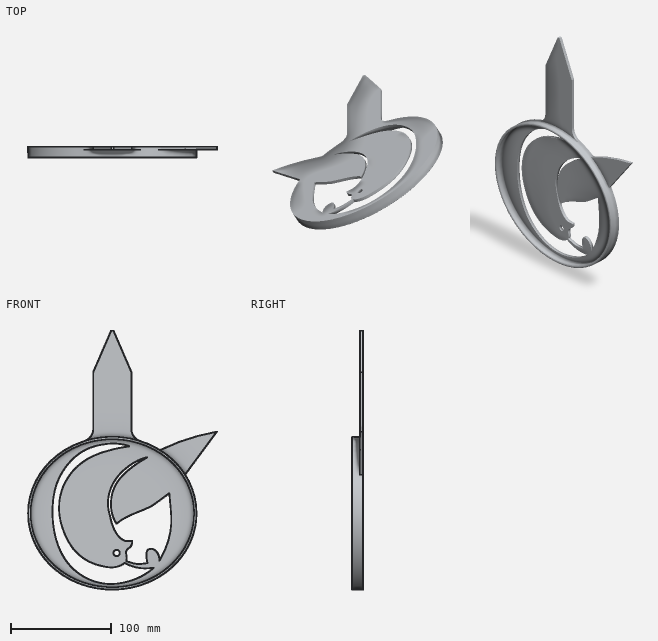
import cadquery as cq
import math

OVAL_HALF_WIDTH = 83.75
OVAL_HALF_HEIGHT = 76.0
PLATE_THICKNESS = 3.18
RIM_DEPTH = 8.0
RIM_WALL = 2.5
RIM_CROWN_HEIGHT = 0.5
RIM_FOOT_RADIUS = 0.7

STAKE_HALF_WIDTH = 19.05
STAKE_SHOULDER_Z = 140.2
STAKE_TIP_Z = 181.46
STAKE_TIP_HALF_WIDTH = 1.2
STAKE_ROOT_RADIUS = 12.7

LEAF_ROOT_RADIUS = 3.0

ROOT_MARGIN = 8.0

EYE_CENTER = (4.3, -39.5)
EYE_DIAMETER = 6.0

LEAF_TIP = (103.97, 81.1)
LEAF_UPPER_MIDDLE = (74.3, 73.7)
LEAF_UPPER_ROOT = (42.0, 60.0)
LEAF_LOWER_ROOT = (70.0, 35.2)

CRESCENT_TIP = (16.9, 66.6)
CRESCENT_CORNER = (41.0, -54.1)
CHIN = (12.2, -49.5)
CRESCENT_EDGES = [
    [CRESCENT_CORNER, (32.9, -60.3), (17.4, -67.2), (-2.0, -70.2), (-21.2, -66.4), (-43.7, -50.0),
     (-57.4, -19.0), (-59.3, 4.3), (-55.7, 27.6), (-42.2, 50.8), (-26.7, 62.9), (-11.2, 67.9),
     (2.0, 69.1), CRESCENT_TIP],
    [CRESCENT_TIP, (6.7, 64.9), (-8.8, 60.9), (-24.3, 54.2), (-39.4, 41.8), (-49.0, 26.2),
     (-53.0, 2.7), (-47.4, -20.5), (-38.3, -36.0), (-22.8, -48.3), (-7.3, -53.2), (0.5, -53.9),
     (8.2, -52.0), CHIN],
    [CHIN, (23.7, -53.9), (31.5, -54.9), CRESCENT_CORNER],
]

SLIT_TIP = (34.7, 55.6)
BROW = (13.1, -27.5)
CREST_TIP = (19.9, -27.5)
STEM_TOP = (13.8, -47.5)
BUD_NOTCH = (34.8, -49.4)
BUD_ROOT = (46.8, -47.0)
WINDOW_CORNER = (56.5, 19.7)
LEAF_END = (4.2, -10.6)
WINDOW_EDGES = [
    [SLIT_TIP, (26.0, 52.5), (15.2, 45.9), (4.5, 35.3), (-1.5, 24.5), (-4.2, 8.2), (-2.4, -2.7),
     (3.5, -19.0), (7.5, -24.1), BROW],
    [BROW, CREST_TIP],
    [CREST_TIP, (19.7, -30.0), (18.0, -33.3), (14.1, -37.1), (14.4, -44.3), STEM_TOP],
    [STEM_TOP, (19.9, -49.4), (25.3, -50.3), (30.7, -50.0), BUD_NOTCH],
    [BUD_NOTCH, (33.7, -41.5), (35.5, -36.2), (38.7, -35.2), (43.0, -37.1), (46.2, -42.3), BUD_ROOT],
    [BUD_ROOT, (51.0, -39.1), (55.2, -28.3), (57.7, -17.4), (58.5, -6.6), (57.9, 4.3), WINDOW_CORNER],
    [WINDOW_CORNER, (49.3, 14.5), (38.5, 6.8), (27.6, 2.0), (16.8, -2.6), LEAF_END],
    [LEAF_END, (-1.2, 4.0), (-1.5, 9.7), (0.1, 20.6), (5.4, 31.7), (14.8, 41.9), (26.0, 50.4), SLIT_TIP],
]


def front_plane(y):
    """XZ plane at depth y, with its normal towards -Y."""
    return cq.Workplane("XZ", origin=(0, y, 0))


def make_oval():
    """Oval body of the plate."""
    return front_plane(PLATE_THICKNESS).ellipse(OVAL_HALF_WIDTH, OVAL_HALF_HEIGHT).extrude(PLATE_THICKNESS)


def make_stake():
    return (
        front_plane(PLATE_THICKNESS)
        .moveTo(-STAKE_HALF_WIDTH, 0)
        .lineTo(-STAKE_HALF_WIDTH, STAKE_SHOULDER_Z)
        .lineTo(-STAKE_TIP_HALF_WIDTH, STAKE_TIP_Z)
        .lineTo(STAKE_TIP_HALF_WIDTH, STAKE_TIP_Z)
        .lineTo(STAKE_HALF_WIDTH, STAKE_SHOULDER_Z)
        .lineTo(STAKE_HALF_WIDTH, 0)
        .close()
        .extrude(PLATE_THICKNESS)
    )


def make_leaf():
    return (
        front_plane(PLATE_THICKNESS)
        .moveTo(*LEAF_UPPER_ROOT)
        .threePointArc(LEAF_UPPER_MIDDLE, LEAF_TIP)
        .lineTo(*LEAF_LOWER_ROOT)
        .close()
        .extrude(PLATE_THICKNESS)
    )


def make_opening(edges):
    """Cutter through the plate, bounded by the given smooth edges."""
    sketch = front_plane(PLATE_THICKNESS).moveTo(*edges[0][0])
    for points in edges:
        if len(points) == 2:
            sketch = sketch.lineTo(*points[1])
        else:
            sketch = sketch.spline(points[1:], includeCurrent=True)
    return sketch.wire().extrude(PLATE_THICKNESS)


def through_edges(center, half_width, half_height):
    """Selector for the edges across the plate thickness whose midpoints lie in a box around center."""
    x, z = center
    return cq.selectors.BoxSelector(
        (x - half_width, PLATE_THICKNESS / 4, z - half_height),
        (x + half_width, PLATE_THICKNESS * 3 / 4, z + half_height),
    )


def make_plate():
    plate = make_oval().union(make_stake())
    stake_roots = through_edges((0, OVAL_HALF_HEIGHT), STAKE_HALF_WIDTH + ROOT_MARGIN, ROOT_MARGIN)
    plate = plate.edges(stake_roots).fillet(STAKE_ROOT_RADIUS)
    plate = plate.union(make_leaf())
    leaf_root = through_edges(LEAF_UPPER_ROOT, ROOT_MARGIN, ROOT_MARGIN)
    plate = plate.edges(leaf_root).fillet(LEAF_ROOT_RADIUS)
    for edges in (CRESCENT_EDGES, WINDOW_EDGES):
        plate = plate.cut(make_opening(edges))
    eye = front_plane(PLATE_THICKNESS).center(*EYE_CENTER).circle(EYE_DIAMETER / 2).extrude(PLATE_THICKNESS)
    return plate.cut(eye)


def make_rim():
    """Wall with a crowned front edge and a concave foot, swept around the oval."""
    outside = OVAL_HALF_WIDTH
    inside = outside - RIM_WALL
    shoulder_y = RIM_CROWN_HEIGHT - RIM_DEPTH
    foot_offset = RIM_FOOT_RADIUS * (1 - math.sqrt(0.5))
    profile = (
        cq.Workplane("XY")
        .moveTo(outside, 0)
        .lineTo(outside, shoulder_y)
        .threePointArc((outside - RIM_WALL / 2, -RIM_DEPTH), (inside, shoulder_y))
        .lineTo(inside, -RIM_FOOT_RADIUS)
        .threePointArc((inside - foot_offset, -foot_offset), (inside - RIM_FOOT_RADIUS, 0))
        .close()
    )
    path = front_plane(0).ellipse(OVAL_HALF_WIDTH, OVAL_HALF_HEIGHT)
    return profile.sweep(path)


result = make_plate().union(make_rim())